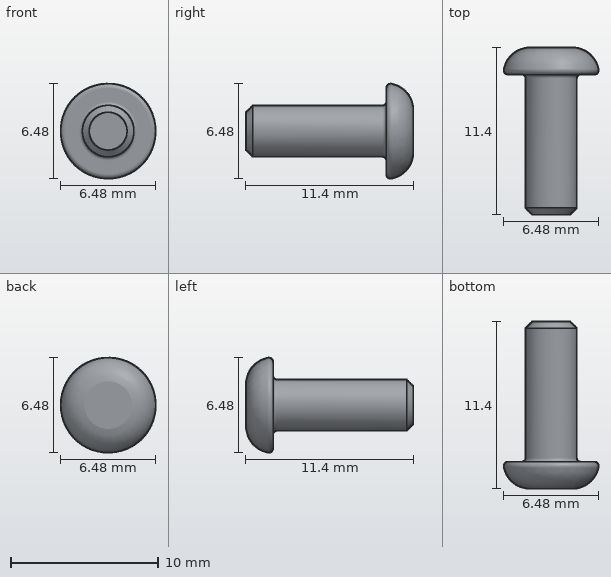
import cadquery as cq
import math

total_length = 11.38
head_diameter = 6.48
head_height = 1.85
shank_diameter = 3.5

rim_radius = 0.32
rim_line_height = 0.39
crown_diameter = 3.23
neck_fillet = 0.24
tip_chamfer = 0.47

head_radius = head_diameter / 2
shank_radius = shank_diameter / 2
crown_radius = crown_diameter / 2
seat_y = total_length - head_height
rim_center_r = head_radius - rim_radius
rim_center_y = seat_y + rim_radius

rim_angle = math.asin((rim_line_height - rim_radius) / rim_radius)
rim_end = (
    rim_center_r + rim_radius * math.cos(rim_angle),
    rim_center_y + rim_radius * math.sin(rim_angle),
)

arc_inset = 1 - math.sqrt(0.5)
neck_middle = (
    shank_radius + neck_fillet * arc_inset,
    seat_y - neck_fillet * arc_inset,
)

profile = (
    cq.Workplane("XY")
    .lineTo(shank_radius - tip_chamfer, 0)
    .lineTo(shank_radius, tip_chamfer)
    .lineTo(shank_radius, seat_y - neck_fillet)
    .threePointArc(neck_middle, (shank_radius + neck_fillet, seat_y))
    .lineTo(rim_center_r, seat_y)
    .threePointArc((head_radius, rim_center_y), rim_end)
    .tangentArcPoint((crown_radius, total_length), relative=False)
    .lineTo(0, total_length)
    .close()
)

result = profile.revolve(360, (0, 0, 0), (0, 1, 0))